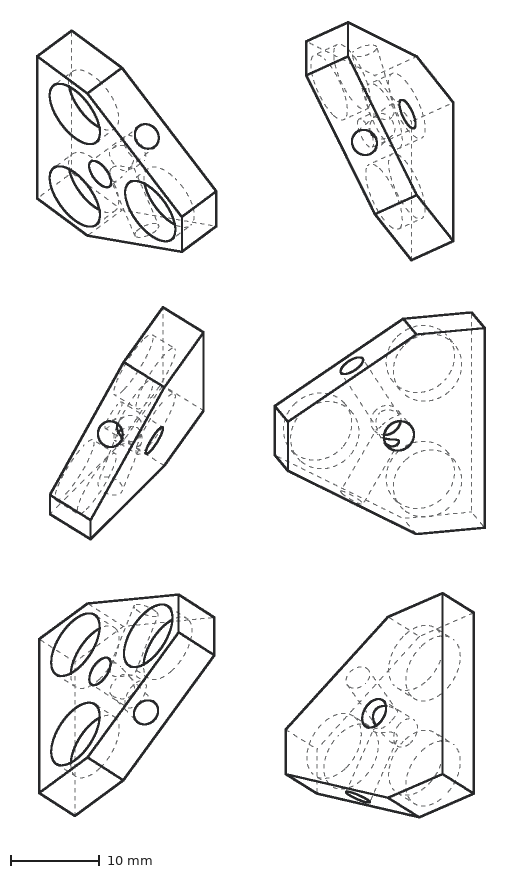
import cadquery as cq
import math

width = 23.0
thickness = 5.5
height = 23.85
straight_length = 8.0
nose_height = 5.87

pocket_diameter = 8.0
pocket_depth = 3.0
left_pocket_x = 6.0
left_pocket_z = 6.92
right_pocket_x = 18.0

center_hole_x = 10.02
center_hole_diameter = 3.5
cross_hole_diameter = 2.9
cross_hole_y = 2.7

half_height = height / 2
half_nose = nose_height / 2


def front_cylinder(x, z, diameter, depth):
    """Cylinder running from the front face into the plate along +Y."""
    return cq.Workplane(
        cq.Solid.makeCylinder(diameter / 2, depth, cq.Vector(x, 0, z), cq.Vector(0, 1, 0))
    )


def make_plate():
    """Plate with two tapered edges, symmetric about mid-height."""
    outline = [
        (0, -half_height),
        (straight_length, -half_height),
        (width, -half_nose),
        (width, half_nose),
        (straight_length, half_height),
        (0, half_height),
    ]
    return cq.Workplane("XZ").polyline(outline).close().extrude(-thickness)


def make_cross_hole():
    """Cylinder square to the upper tapered edge, ending on the through hole axis."""
    taper_angle = math.atan2(half_height - half_nose, width - straight_length)
    outward = cq.Vector(math.sin(taper_angle), 0, math.cos(taper_angle))
    start = cq.Vector(center_hole_x, cross_hole_y, 0)
    return cq.Workplane(
        cq.Solid.makeCylinder(cross_hole_diameter / 2, height, start, outward)
    )


pocket_centers = [
    (left_pocket_x, left_pocket_z),
    (left_pocket_x, -left_pocket_z),
    (right_pocket_x, 0),
]

result = make_plate()
for pocket_x, pocket_z in pocket_centers:
    result = result.cut(front_cylinder(pocket_x, pocket_z, pocket_diameter, pocket_depth))
result = result.cut(front_cylinder(center_hole_x, 0, center_hole_diameter, thickness))
upper_cross_hole = make_cross_hole()
result = result.cut(upper_cross_hole)
result = result.cut(upper_cross_hole.mirror("XY"))